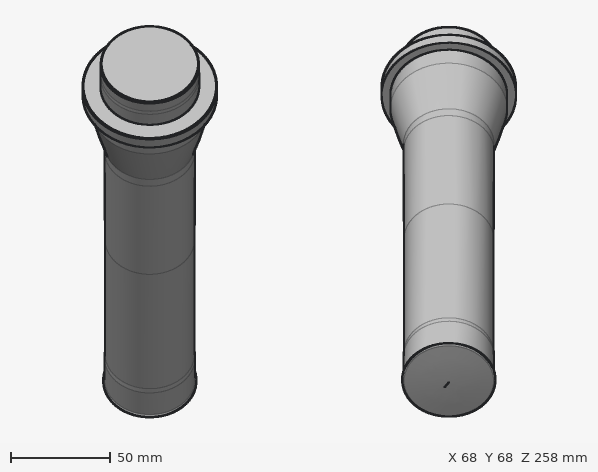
import cadquery as cq
import math

plug_tip_diameter = 49.7
plug_diameter = 49.99
flange_diameter = 68.0
collar_diameter = 59.0
tube_diameter = 45.35
sleeve_diameter = 45.83
lip_diameter = 47.2
dome_diameter = 45.2

dome_height = 1.1
lip_height = 2.1
foot_bottom = 3.3
foot_top = 20.7
tube_bottom = 23.8
tube_top = 116.2
neck_bottom = 187.7
neck_top = 193.2
collar_bottom = 222.0
flange_bottom = 232.9
flange_top = 239.9
plug_taper_bottom = 248.4
plug_taper_top = 250.7
overall_height = 257.98

neck_blend_radius = 5.0
neck_blend_angle = math.radians(17.5)
shoulder_end_angle = math.radians(9.0)
plug_edge_width = 0.5
plug_edge_height = 1.0
flange_edge_chamfer = 0.5


def revolve_about_z(half_profile):
    """Turn a closed half profile in the XZ plane into a round solid."""
    return half_profile.revolve(360, (0, 0, 0), (0, 1, 0))


def make_handle():
    """Round handle from the domed base up to the underside of the flange."""
    sleeve_radius = sleeve_diameter / 2
    lip_radius = lip_diameter / 2

    dome_rim = (dome_diameter / 2, dome_height)
    dome_midway = (dome_rim[0] / 2, dome_height / 4)

    flare_width = lip_radius - sleeve_radius
    flare_height = foot_bottom - lip_height
    flare_radius = (flare_width**2 + flare_height**2) / (2 * flare_width)

    shoulder_foot = (
        sleeve_radius + neck_blend_radius * (1 - math.cos(neck_blend_angle)),
        neck_top + neck_blend_radius * math.sin(neck_blend_angle),
    )

    shoulder_end = (collar_diameter / 2, collar_bottom)
    shoulder_end_direction = (math.sin(shoulder_end_angle), math.cos(shoulder_end_angle))
    straight_up = (0, 1)

    half_profile = (
        cq.Workplane("XZ")
        .moveTo(0, 0)
        .threePointArc(dome_midway, dome_rim)
        .tangentArcPoint((lip_radius, lip_height), relative=False)
        .radiusArc((sleeve_radius, foot_bottom), flare_radius)
        .lineTo(sleeve_radius, foot_top)
        .lineTo(tube_diameter / 2, tube_bottom)
        .lineTo(tube_diameter / 2, tube_top)
        .spline([(sleeve_radius, neck_bottom)], tangents=[straight_up, straight_up], includeCurrent=True)
        .lineTo(sleeve_radius, neck_top)
        .spline(
            [shoulder_foot, shoulder_end],
            tangents=[straight_up, shoulder_end_direction],
            includeCurrent=True,
        )
        .lineTo(collar_diameter / 2, flange_bottom)
        .lineTo(0, flange_bottom)
        .close()
    )
    return revolve_about_z(half_profile)


def make_plug():
    """Flanged plug that closes the top of the handle."""
    flange_radius = flange_diameter / 2
    tip_radius = plug_tip_diameter / 2
    half_profile = (
        cq.Workplane("XZ")
        .moveTo(0, flange_bottom)
        .lineTo(flange_radius, flange_bottom)
        .lineTo(flange_radius, flange_top - flange_edge_chamfer)
        .lineTo(flange_radius - flange_edge_chamfer, flange_top)
        .lineTo(plug_diameter / 2, flange_top)
        .lineTo(plug_diameter / 2, plug_taper_bottom)
        .lineTo(tip_radius, plug_taper_top)
        .lineTo(tip_radius, overall_height - plug_edge_height)
        .lineTo(tip_radius - plug_edge_width, overall_height)
        .lineTo(0, overall_height)
        .close()
    )
    return revolve_about_z(half_profile)


handle = make_handle()
plug = make_plug()

result = cq.Compound.makeCompound([handle.val(), plug.val()])